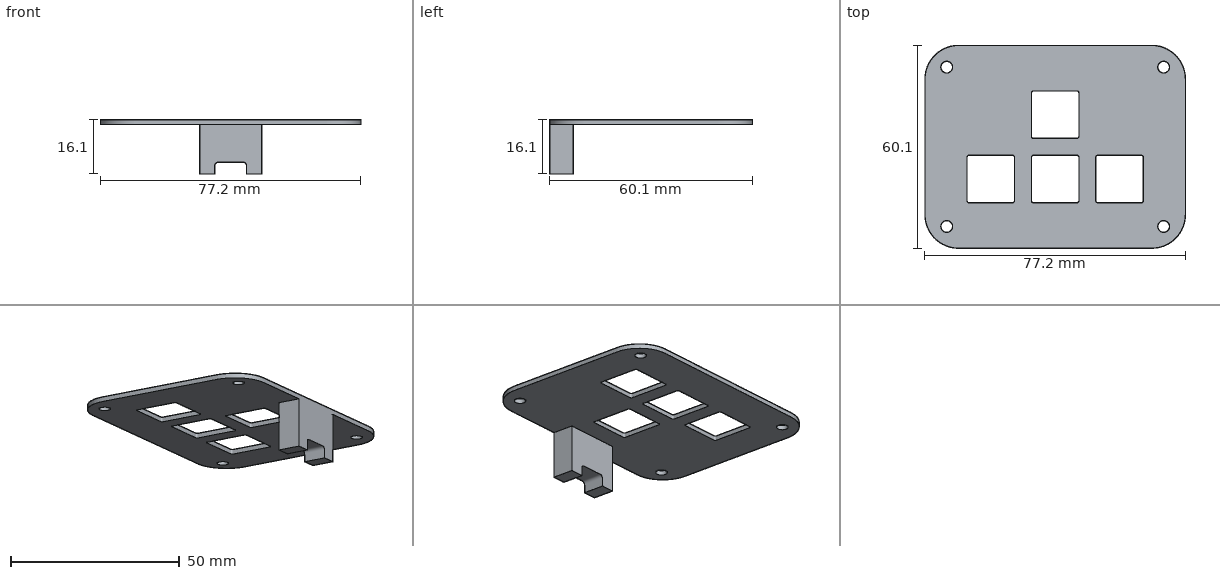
import cadquery as cq

plate_length = 77.15
plate_width = 60.1
plate_thickness = 1.5
plate_corner_radius = 10.0

screw_hole_diameter = 3.4
screw_hole_inset = 6.5

window_size = 14.0
window_pitch = 19.05
window_corner_radius = 0.5
lower_row_y = -window_pitch / 2
upper_row_y = window_pitch / 2

overall_height = 16.1
block_length = 18.45
block_depth = 7.0
block_height = overall_height - plate_thickness

notch_length = 9.3
notch_height = 3.5
notch_corner_radius = 1.0


def make_plate():
    """Rounded plate with a screw hole in each corner."""
    hole_spacing_x = plate_length - 2 * screw_hole_inset
    hole_spacing_y = plate_width - 2 * screw_hole_inset
    return (
        cq.Workplane("XY")
        .rect(plate_length, plate_width)
        .extrude(plate_thickness)
        .edges("|Z")
        .fillet(plate_corner_radius)
        .faces(">Z")
        .workplane()
        .rect(hole_spacing_x, hole_spacing_y, forConstruction=True)
        .vertices()
        .hole(screw_hole_diameter)
    )


def make_windows():
    """Square prisms with rounded corners that cut the four windows."""
    centres = [(column * window_pitch, lower_row_y) for column in (-1, 0, 1)]
    centres.append((0, upper_row_y))
    return (
        cq.Workplane("XY")
        .pushPoints(centres)
        .rect(window_size, window_size)
        .extrude(plate_thickness)
        .edges("|Z")
        .fillet(window_corner_radius)
    )


def make_block():
    """Block under the back edge, with a notch whose upper corners are rounded."""
    block_centre_y = (plate_width - block_depth) / 2
    block = (
        cq.Workplane("XY")
        .center(0, block_centre_y)
        .rect(block_length, block_depth)
        .extrude(-block_height)
    )
    notch = (
        cq.Workplane("XY", origin=(0, block_centre_y, -block_height))
        .rect(notch_length, block_depth)
        .extrude(notch_height)
        .edges("|Y and >Z")
        .fillet(notch_corner_radius)
    )
    return block.cut(notch)


result = make_plate().cut(make_windows()).union(make_block())